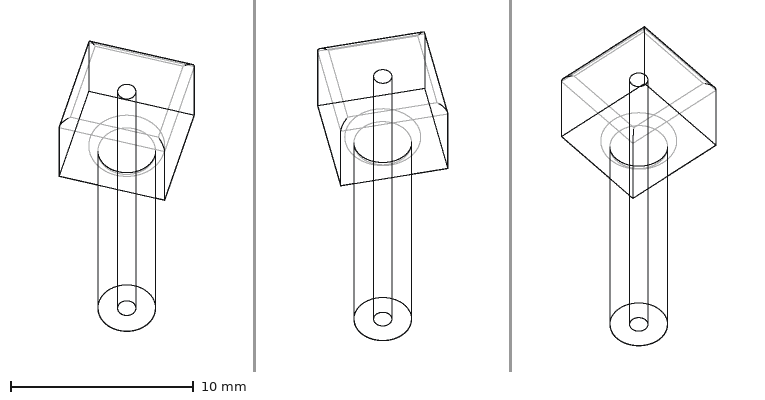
import cadquery as cq

total_height = 20.0
head_width = 6.0
head_height = 5.0
shank_diameter = 3.15
bore_diameter = 1.0
edge_radius = 0.5

shank_length = total_height - head_height


def make_head():
    """Square head with its four top edges rounded."""
    return (
        cq.Workplane("XY")
        .workplane(offset=shank_length)
        .rect(head_width, head_width)
        .extrude(head_height)
        .faces(">Z")
        .edges()
        .fillet(edge_radius)
    )


def make_shank():
    """Round shank flaring out through a concave fillet where it meets the head."""
    shank_radius = shank_diameter / 2
    flare_radius = shank_radius + edge_radius
    flare_start = shank_length - edge_radius
    return (
        cq.Workplane("XZ")
        .lineTo(shank_radius, 0)
        .lineTo(shank_radius, flare_start)
        .radiusArc((flare_radius, shank_length), edge_radius)
        .lineTo(0, shank_length)
        .close()
        .revolve(360, (0, 0, 0), (0, 1, 0))
    )


def make_bore():
    """Axial hole through the full height."""
    return cq.Workplane("XY").circle(bore_diameter / 2).extrude(total_height)


result = make_head().union(make_shank()).cut(make_bore())